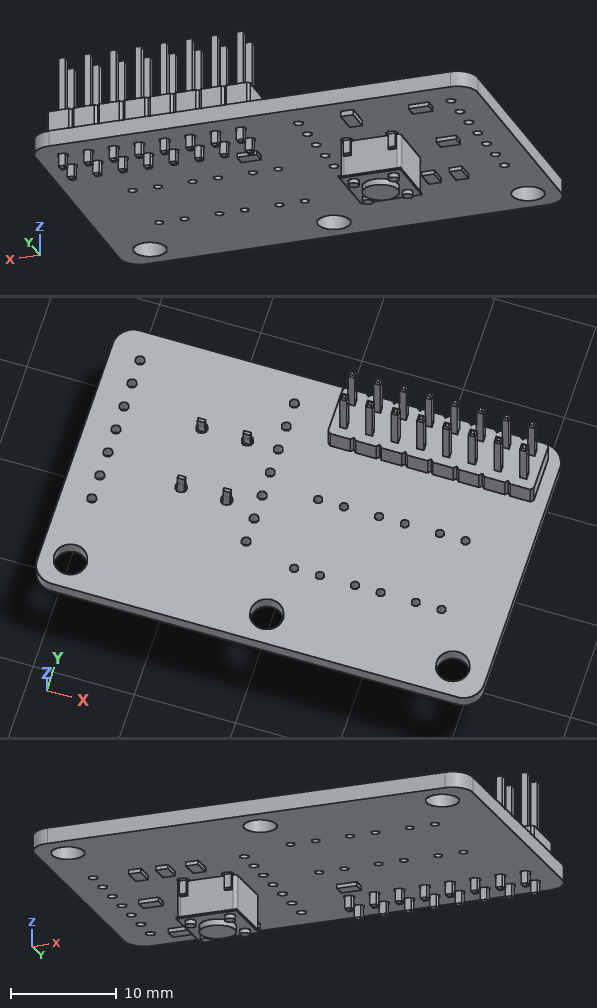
import cadquery as cq

BOARD_LENGTH = 44.2
BOARD_WIDTH = 28.0
BOARD_THICKNESS = 1.6
BOARD_CORNER_RADIUS = 2.05

MOUNT_HOLE_DIAMETER = 3.2
MOUNT_HOLE_XS = (-19.1, 0.3, 18.7)
MOUNT_HOLE_Y = -11.0

MODULE_HOLE_DIAMETER = 0.9
MODULE_HOLE_COUNT = 7
MODULE_COLUMN_LENGTH = 15.25
MODULE_COLUMN_XS = (-19.1, -3.85)
MODULE_CENTER_Y = 3.35
PITCH = MODULE_COLUMN_LENGTH / (MODULE_HOLE_COUNT - 1)

PAIR_HOLE_DIAMETER = 0.8
PAIR_START_XS = (1.33, 7.35, 13.35)
PAIR_ROW_YS = (2.0, -5.6)

STANDOFF = 0.05

HEADER_X = 10.6
HEADER_Y = 10.25
HEADER_COLUMNS = 8
HEADER_ROWS = 2
HEADER_HEIGHT = 2.55
HEADER_CORNER_X = 0.25
HEADER_CORNER_Y = 0.25
HEADER_HOLE_DIAMETER = 1.0
PIN_WIDTH = 0.65
PIN_TOP_Z = 10.2
PIN_BOTTOM_Z = -1.35
PIN_TIP_CHAMFER = 0.18

SWITCH_X = -9.15
SWITCH_Y = 2.65
SWITCH_WIDTH = 6.0
SWITCH_HEIGHT = 3.7
SWITCH_CORNER_RADIUS = 0.35
COVER_WIDTH = 6.05
COVER_THICKNESS = 0.18
BUTTON_DIAMETER = 3.5
BUTTON_BOTTOM_Z = -4.35
STUD_DIAMETER = 1.0
STUD_BOTTOM_Z = -4.15
STUD_OFFSET = 2.0

LEG_OFFSET_X = 2.25
LEG_WIDTH = 0.7
LEG_THICKNESS = 0.3
LEG_TOP_Z = 3.4
LEG_BOTTOM_Z = -1.5
LEG_BEND_Z = 2.45
LEG_BULGE = 0.3
LEG_BULGE_Z = BOARD_THICKNESS / 2
LEG_END_CHAMFER = 0.15
LEG_HOLE_DIAMETER = 1.1
LEG_HOLE_OFFSET_Y = 3.25

CHIP_LENGTH = 2.0
CHIP_WIDTH = 1.25
CHIP_HEIGHT = 0.4
CHIPS_ALONG_X = ((-16.05, 3.05), (-16.05, 10.9), (2.85, 6.0))
CHIPS_ALONG_Y = ((-14.65, -4.02), (-11.9, -4.02), (-8.85, -4.02))
LARGE_CHIP_LENGTH = 2.55
LARGE_CHIP_HEIGHT = 0.55
LARGE_CHIP_Y = 11.0


def centered_steps(count):
    """Positions of `count` points one pitch apart, centred on zero."""
    return [(i - (count - 1) / 2) * PITCH for i in range(count)]


HEADER_PIN_POINTS = [
    (HEADER_X + dx, HEADER_Y + dy)
    for dx in centered_steps(HEADER_COLUMNS)
    for dy in centered_steps(HEADER_ROWS)
]


def cut_holes(plate, points, diameter):
    drills = cq.Workplane().pushPoints(points).circle(diameter / 2).extrude(BOARD_THICKNESS)
    return plate.cut(drills)


def make_board():
    board = (
        cq.Workplane()
        .rect(BOARD_LENGTH, BOARD_WIDTH)
        .extrude(BOARD_THICKNESS)
        .edges("|Z")
        .fillet(BOARD_CORNER_RADIUS)
    )
    mount_points = [(x, MOUNT_HOLE_Y) for x in MOUNT_HOLE_XS]
    module_points = [
        (x, MODULE_CENTER_Y + dy) for x in MODULE_COLUMN_XS for dy in centered_steps(MODULE_HOLE_COUNT)
    ]
    pair_points = [(x + dx, y) for x in PAIR_START_XS for dx in (0, PITCH) for y in PAIR_ROW_YS]
    leg_points = [
        (SWITCH_X + side * LEG_OFFSET_X, SWITCH_Y + end * LEG_HOLE_OFFSET_Y)
        for side in (-1, 1)
        for end in (-1, 1)
    ]
    board = cut_holes(board, mount_points, MOUNT_HOLE_DIAMETER)
    board = cut_holes(board, module_points, MODULE_HOLE_DIAMETER)
    board = cut_holes(board, pair_points, PAIR_HOLE_DIAMETER)
    board = cut_holes(board, leg_points, LEG_HOLE_DIAMETER)
    return cut_holes(board, HEADER_PIN_POINTS, HEADER_HOLE_DIAMETER)


def make_header_block(x):
    """One column of the header's plastic: a block with its four upright corners cut off."""
    half_x = PITCH / 2
    half_y = HEADER_ROWS * PITCH / 2
    flat_x = half_x - HEADER_CORNER_X
    flat_y = half_y - HEADER_CORNER_Y
    outline = [
        (-flat_x, -half_y),
        (flat_x, -half_y),
        (half_x, -flat_y),
        (half_x, flat_y),
        (flat_x, half_y),
        (-flat_x, half_y),
        (-half_x, flat_y),
        (-half_x, -flat_y),
    ]
    block = cq.Workplane().polyline(outline).close().extrude(HEADER_HEIGHT)
    return block.translate((x, HEADER_Y, BOARD_THICKNESS + STANDOFF))


def make_header_pin(x, y):
    pin = (
        cq.Workplane()
        .rect(PIN_WIDTH, PIN_WIDTH)
        .extrude(PIN_TOP_Z - PIN_BOTTOM_Z)
        .faces("<Z or >Z")
        .chamfer(PIN_TIP_CHAMFER)
    )
    return pin.translate((x, y, PIN_BOTTOM_Z))


def make_header():
    """Plastic strip with its pins moulded in, as one solid."""
    block_xs = [HEADER_X + dx for dx in centered_steps(HEADER_COLUMNS)]
    header = make_header_block(block_xs[0])
    for x in block_xs[1:]:
        header = header.union(make_header_block(x))
    for x, y in HEADER_PIN_POINTS:
        header = header.union(make_header_pin(x, y))
    return header


def make_leg():
    """Bent strip on the +Y face of the switch, in the middle of that face."""
    inner = SWITCH_WIDTH / 2
    outer = inner + LEG_THICKNESS
    profile = [
        (inner, LEG_BOTTOM_Z),
        (outer - LEG_END_CHAMFER, LEG_BOTTOM_Z),
        (outer, LEG_BOTTOM_Z + LEG_END_CHAMFER),
        (outer, 0),
        (outer + LEG_BULGE, LEG_BULGE_Z),
        (outer, LEG_BEND_Z),
        (outer, LEG_TOP_Z),
        (inner, LEG_TOP_Z),
        (inner, LEG_BEND_Z),
        (inner + LEG_BULGE, LEG_BULGE_Z),
        (inner, 0),
    ]
    return cq.Workplane("YZ").polyline(profile).close().extrude(LEG_WIDTH / 2, both=True)


def make_switch():
    """Switch body with its square-cornered cover plate, button, corner studs and four legs, as one solid."""
    switch = (
        cq.Workplane()
        .rect(SWITCH_WIDTH, SWITCH_WIDTH)
        .extrude(-SWITCH_HEIGHT)
        .edges("|Z")
        .fillet(SWITCH_CORNER_RADIUS)
    )
    cover = (
        cq.Workplane()
        .workplane(offset=-SWITCH_HEIGHT)
        .rect(COVER_WIDTH, COVER_WIDTH)
        .extrude(COVER_THICKNESS)
    )
    button = cq.Workplane().circle(BUTTON_DIAMETER / 2).extrude(BUTTON_BOTTOM_Z)
    studs = (
        cq.Workplane()
        .rect(2 * STUD_OFFSET, 2 * STUD_OFFSET, forConstruction=True)
        .vertices()
        .circle(STUD_DIAMETER / 2)
        .extrude(STUD_BOTTOM_Z)
    )
    switch = switch.union(cover).union(button).union(studs)
    back_leg = make_leg()
    for leg in (back_leg, back_leg.mirror("XZ")):
        for side in (-1, 1):
            switch = switch.union(leg.translate((side * LEG_OFFSET_X, 0, 0)))
    return switch.translate((SWITCH_X, SWITCH_Y, 0))


def make_chip(x, y, size_x, size_y, height):
    """Plain block just below the underside of the board."""
    return cq.Workplane().workplane(offset=-STANDOFF).center(x, y).rect(size_x, size_y).extrude(-height)


board = make_board()
header = make_header()
switch = make_switch()
chips = [make_chip(x, y, CHIP_LENGTH, CHIP_WIDTH, CHIP_HEIGHT) for x, y in CHIPS_ALONG_X]
chips += [make_chip(x, y, CHIP_WIDTH, CHIP_LENGTH, CHIP_HEIGHT) for x, y in CHIPS_ALONG_Y]
large_chip = make_chip(SWITCH_X, LARGE_CHIP_Y, CHIP_WIDTH, LARGE_CHIP_LENGTH, LARGE_CHIP_HEIGHT)

result = cq.Compound.makeCompound(
    [board.val(), header.val(), switch.val(), large_chip.val(), *[chip.val() for chip in chips]]
)